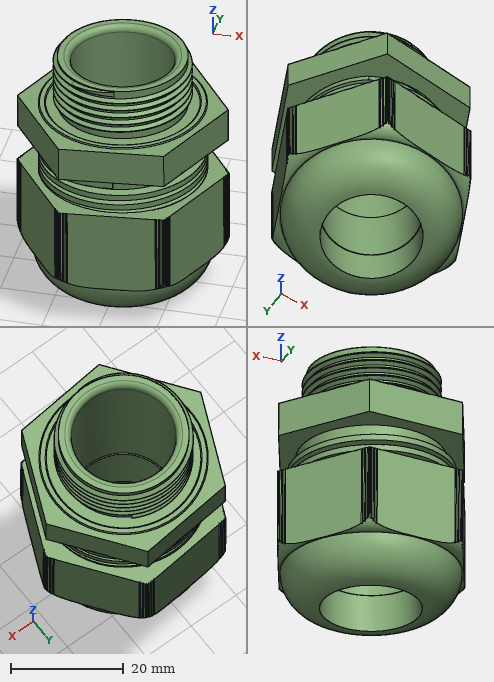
import cadquery as cq
import math


total_height = 46.15
hex_top = 36.15
hex_bottom = 29.7
nut_top = 22.6
nut_flats_bottom = 7.05
body_bottom = 9.25

axis_lean = 0.2

hex_turn = 6.2
hex_sides = 6
hex_side_angle = 360 / hex_sides
body_hex_corner_radius = 18.9
nut_corner_radius = 19.05

bore_diameter = 18.65
bore_lip_radius = 1.15
nipple_diameter = 23.3
neck_diameter = 27.0
rim_outer_diameter = 30.1
rim_inner_diameter = 27.5
rim_top_outer_diameter = 29.7
rim_top_inner_diameter = 27.9
rim_height = 0.2
seal_pocket_top = 18.5

thread_end_angle = -84.0
thread_tail_sweep = 40.0
thread_embed = 0.15
pitch_span = 6.0

nipple_thread_diameter = 24.75
nipple_thread_pitch = pitch_span / 4
nipple_thread_root_width = 1.1
nipple_thread_crest_width = 0.15
nipple_thread_end_height = 45.5
nipple_thread_turns = 5.6
nipple_thread_tail_drop = 0.55

nut_thread_diameter = 30.1
nut_thread_pitch = pitch_span / 3
nut_thread_root_width = 1.55
nut_thread_crest_width = 1.1
nut_thread_end_height = 27.67
nut_thread_turns = 5.0
nut_thread_tail_drop = 1.05

nut_bore_diameter = 30.2
nut_mouth_diameter = 18.3
nut_corner_rounding = 2.6
dome_rounding = nut_flats_bottom
dome_diameter = nut_mouth_diameter + 2 * dome_rounding
grip_groove_spacing = 0.6
grip_groove_depth = 0.15
grip_grooves_per_side = 3

seal_outer_diameter = 23.2
seal_bore_diameter = 18.1


def disc(diameter, bottom, top):
    """Cylinder on the Z axis between two heights."""
    return cq.Workplane("XY").workplane(offset=bottom).circle(diameter / 2).extrude(top - bottom)


def hexagon(corner_radius, bottom, top):
    """Turned hexagonal prism on the Z axis between two heights."""
    prism = cq.Workplane("XY").polygon(hex_sides, 2 * corner_radius).extrude(top - bottom)
    return prism.rotate((0, 0, 0), (0, 0, 1), hex_turn).translate((0, 0, bottom))


def sweep_ridge(path, core_radius, crest_radius, root_width, crest_width):
    """Trapezoidal ridge swept along a helix that starts at angle 0, height 0."""
    flank_slope = (root_width - crest_width) / 2 / (crest_radius - core_radius)
    base_half = root_width / 2 + flank_slope * thread_embed
    crest_half = crest_width / 2
    base_radius = core_radius - thread_embed
    profile = cq.Workplane("XZ").polyline([
        (base_radius, -base_half),
        (crest_radius, -crest_half),
        (crest_radius, crest_half),
        (base_radius, base_half),
    ]).close()
    return profile.sweep(cq.Workplane(obj=path), isFrenet=True)


def thread(core_diameter, crest_diameter, root_width, crest_width, pitch, turns, end_height, tail_drop):
    """Right-handed external thread: full-depth turns and a fading tail at the top, as two ridges."""
    core_radius = core_diameter / 2
    crest_radius = crest_diameter / 2
    tail_turns = thread_tail_sweep / 360
    tail_start_angle = thread_end_angle - thread_tail_sweep
    tail_start_height = end_height - tail_turns * pitch
    full_turns = turns - tail_turns
    full_start_angle = tail_start_angle - 360 * full_turns
    full_start_height = tail_start_height - full_turns * pitch

    def ridge(ridge_turns, start_angle, start_height):
        path = cq.Wire.makeHelix(pitch, ridge_turns * pitch, core_radius)
        swept = sweep_ridge(path, core_radius, crest_radius, root_width, crest_width)
        return swept.rotate((0, 0, 0), (0, 0, 1), start_angle).translate((0, 0, start_height))

    full = ridge(full_turns, full_start_angle, full_start_height)
    tail = ridge(tail_turns, tail_start_angle, tail_start_height)

    shift = tail_drop / math.sin(math.radians(thread_tail_sweep))
    shift_angle = math.radians(thread_end_angle - 90)
    limit = disc(crest_diameter - 2 * tail_drop, 0, total_height)
    limit = limit.translate((shift * math.cos(shift_angle), shift * math.sin(shift_angle), 0))
    return full, tail.intersect(limit)


def make_body():
    """Hollow double nipple with a hexagonal collar, a sealing rim and two threads."""
    body = disc(neck_diameter, body_bottom, hex_bottom)
    body = body.union(hexagon(body_hex_corner_radius, hex_bottom, hex_top))
    body = body.union(disc(nipple_diameter, hex_top, total_height))

    rim_top = hex_top + rim_height
    rim = (
        cq.Workplane("XZ")
        .polyline([
            (rim_inner_diameter / 2, hex_top),
            (rim_top_inner_diameter / 2, rim_top),
            (rim_top_outer_diameter / 2, rim_top),
            (rim_outer_diameter / 2, hex_top),
        ])
        .close()
        .revolve(360, (0, 0, 0), (0, 1, 0))
    )
    body = body.union(rim)

    nipple_ridges = thread(
        nipple_diameter, nipple_thread_diameter, nipple_thread_root_width, nipple_thread_crest_width,
        nipple_thread_pitch, nipple_thread_turns, nipple_thread_end_height, nipple_thread_tail_drop,
    )
    nut_ridges = thread(
        neck_diameter, nut_thread_diameter, nut_thread_root_width, nut_thread_crest_width,
        nut_thread_pitch, nut_thread_turns, nut_thread_end_height, nut_thread_tail_drop,
    )
    for ridge in (*nipple_ridges, *nut_ridges):
        body = body.union(ridge)

    bore_radius = bore_diameter / 2
    lip_bottom = total_height - bore_lip_radius
    lip_outer = bore_radius + bore_lip_radius
    lip_middle = lip_outer - bore_lip_radius * math.sqrt(0.5)
    bore = (
        cq.Workplane("XZ")
        .moveTo(0, body_bottom)
        .lineTo(bore_radius, body_bottom)
        .lineTo(bore_radius, lip_bottom)
        .threePointArc((lip_middle, lip_bottom + bore_lip_radius * math.sqrt(0.5)), (lip_outer, total_height))
        .lineTo(0, total_height)
        .close()
        .revolve(360, (0, 0, 0), (0, 1, 0))
    )
    return body.cut(bore).cut(disc(seal_outer_diameter, body_bottom, seal_pocket_top))


def nut_envelope():
    """Round limits of the nut: flat-topped cylinder, rounded lower corner and dome."""
    corner_inner = nut_corner_radius - nut_corner_rounding
    corner_top = nut_flats_bottom + nut_corner_rounding
    diagonal = math.sqrt(0.5)
    mouth_radius = nut_mouth_diameter / 2
    return (
        cq.Workplane("XZ")
        .moveTo(0, 0)
        .lineTo(mouth_radius, 0)
        .threePointArc(
            (mouth_radius + dome_rounding * diagonal, dome_rounding * (1 - diagonal)),
            (dome_diameter / 2, nut_flats_bottom),
        )
        .lineTo(corner_inner, nut_flats_bottom)
        .threePointArc(
            (corner_inner + nut_corner_rounding * diagonal, corner_top - nut_corner_rounding * diagonal),
            (nut_corner_radius, corner_top),
        )
        .lineTo(nut_corner_radius, nut_top)
        .lineTo(0, nut_top)
        .close()
        .revolve(360, (0, 0, 0), (0, 1, 0))
    )


def grip_grooves():
    """V grooves along the flats on both sides of every corner of the nut."""
    flat_distance = nut_corner_radius * math.cos(math.radians(hex_side_angle / 2))
    corner_offset = nut_corner_radius / 2
    offsets = [
        side * (corner_offset - (step + 0.5) * grip_groove_spacing)
        for side in (-1, 1)
        for step in range(grip_grooves_per_side)
    ]
    bar_diagonal = 2 * grip_groove_depth
    bar = cq.Workplane("XY").polygon(4, bar_diagonal).extrude(nut_top)
    bars = []
    for flat in range(hex_sides):
        flat_angle = hex_turn + (flat + 0.5) * hex_side_angle
        for offset in offsets:
            placed = bar.translate((flat_distance, offset, 0))
            bars.append(placed.rotate((0, 0, 0), (0, 0, 1), flat_angle).val())
    return cq.Compound.makeCompound(bars)


def make_nut():
    """Hexagonal cap nut with a domed lower end."""
    grip = hexagon(nut_corner_radius, nut_flats_bottom, nut_top).cut(cq.Workplane(obj=grip_grooves()))
    nut = grip.union(disc(dome_diameter, 0, nut_flats_bottom)).intersect(nut_envelope())
    nut = nut.cut(disc(nut_bore_diameter, nut_flats_bottom, nut_top))
    return nut.cut(disc(nut_mouth_diameter, 0, nut_flats_bottom))


def make_seal():
    """Plain sealing sleeve between the nut's floor and the pocket in the body."""
    seal = disc(seal_outer_diameter, nut_flats_bottom, seal_pocket_top)
    return seal.cut(disc(seal_bore_diameter, nut_flats_bottom, seal_pocket_top))


body = make_body()
nut = make_nut()
seal = make_seal()

origin = cq.Vector(0, 0, 0)
y_axis = cq.Vector(0, 1, 0)
solids = [part.solids().val().rotate(origin, y_axis, -axis_lean) for part in (body, nut, seal)]
result = cq.Compound.makeCompound(solids)